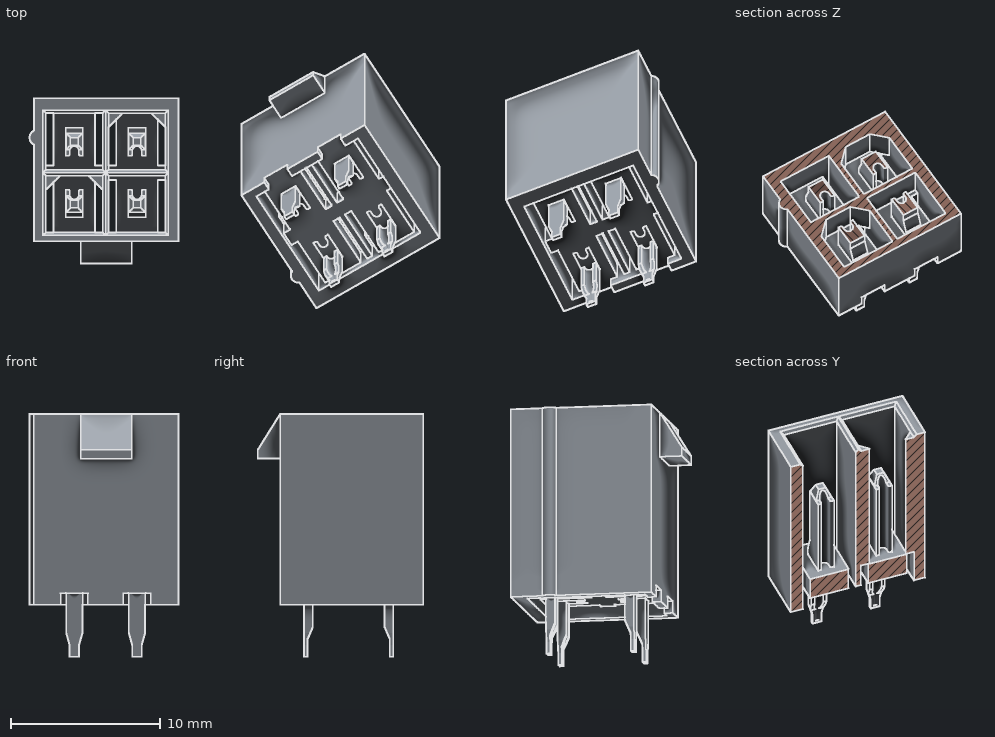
import cadquery as cq


PITCH = 4.2
SIDES = (-1, 1)

HEIGHT = 12.8
LEFT_WALL = 0.61
RIGHT_WALL = 0.69
FRONT_WALL = 0.4
BACK_WALL = 0.8
LEFT = -PITCH - LEFT_WALL
RIGHT = PITCH + RIGHT_WALL
FRONT = -PITCH - FRONT_WALL
BACK = PITCH + BACK_WALL

LEAD_IN = 0.2
CAVITY = PITCH - 2 * LEAD_IN
FLOOR_BOTTOM = 0.79
FLOOR_TOP = 2.5
CORNER_FILL = 0.95

BRIDGE_WIDTH = 2.8
OPENING_LEDGE = 0.3

NOTCH_WIDTH = 1.82

LATCH_WIDTH = 3.45
LATCH_REACH = 1.5
LATCH_RAMP = 2.4
LATCH_HEIGHT = 3.0
RIB_RADIUS = 0.52
RIB_REACH = 0.3
RIB_FROM_BACK = 2.65

TAIL_WIDTH = 1.1
POST_WIDTH = 1.15
GROOVE_RADIUS = 0.31
TAIL_OUTER = 3.0
TAIL_DEPTH = 0.6
TAIL_WEB = 0.25
TAIL_GROOVE_BITE = 0.02
TAIL_GROOVE_END = -3.3
TAIL_LENGTH = 3.5
TAIL_TIP_WIDTH = 0.65
TAIL_TAPER_START = -1.9
TAIL_TAPER_END = -2.7
FLANGE_TAPER_START = -1.5
FLANGE_TAPER_END = -2.3
POST_CENTER = PITCH / 2
POST_OUTER = 2.65
POST_INNER = 1.14
POST_GROOVE_CENTER = 1.48
LEG_ROUNDING = 0.1
POST_TOP = 9.0
TIP_SIZE = 0.52
TIP_HEIGHT = 0.7
TIP_BASE = 2 * (POST_OUTER - POST_CENTER)
SHOULDER_CLEARANCE = 0.5
SHOULDER_RISE = 1.0
SHOULDER_BOTTOM = FLOOR_TOP + SHOULDER_CLEARANCE
SHOULDER_TOP = SHOULDER_BOTTOM + SHOULDER_RISE


def box(x0, x1, y0, y1, z0, z1):
    """Axis-aligned block between two opposite corners."""
    return cq.Workplane("XY").box(x1 - x0, y1 - y0, z1 - z0, centered=False).translate((x0, y0, z0))


def extrude_across(points, width):
    """Extrude an outline of (Y, Z) points along X, centred on X = 0."""
    return cq.Workplane("YZ").polyline(points).close().extrude(width / 2, both=True)


def groove(center_y, depth, z0, z1):
    """Round-bottomed groove cutter, open towards -Y."""
    height = z1 - z0
    bottom = cq.Workplane("XY").circle(GROOVE_RADIUS).extrude(height)
    mouth = box(-GROOVE_RADIUS, GROOVE_RADIUS, -depth, 0, 0, height)
    return bottom.union(mouth).translate((0, center_y, z0))


def build_tail():
    """Channel-shaped solder tail, narrowing to a thin tip; its groove bites slightly into the web."""
    inner = TAIL_OUTER - TAIL_DEPTH
    web_inner = TAIL_OUTER - TAIL_WEB
    side = extrude_across(
        [
            (TAIL_OUTER, FLOOR_BOTTOM),
            (inner, FLOOR_BOTTOM),
            (inner, FLANGE_TAPER_START),
            (web_inner, FLANGE_TAPER_END),
            (web_inner, -TAIL_LENGTH),
            (TAIL_OUTER, -TAIL_LENGTH),
        ],
        TAIL_WIDTH,
    )
    half, tip = TAIL_WIDTH / 2, TAIL_TIP_WIDTH / 2
    face = (
        cq.Workplane("XZ")
        .polyline(
            [
                (-half, FLOOR_BOTTOM),
                (-half, TAIL_TAPER_START),
                (-tip, TAIL_TAPER_END),
                (-tip, -TAIL_LENGTH),
                (tip, -TAIL_LENGTH),
                (tip, TAIL_TAPER_END),
                (half, TAIL_TAPER_START),
                (half, FLOOR_BOTTOM),
            ]
        )
        .close()
        .extrude(-TAIL_OUTER)
    )
    groove_center = web_inner + TAIL_GROOVE_BITE - GROOVE_RADIUS
    return side.intersect(face).cut(groove(groove_center, TAIL_DEPTH, TAIL_GROOVE_END, FLOOR_BOTTOM))


def build_post():
    """Grooved post with a sloped shoulder at its foot and a pyramid tip."""
    tip_base = POST_TOP - TIP_HEIGHT
    post = extrude_across(
        [
            (POST_INNER, FLOOR_BOTTOM),
            (TAIL_OUTER, FLOOR_BOTTOM),
            (TAIL_OUTER, SHOULDER_BOTTOM),
            (POST_OUTER, SHOULDER_TOP),
            (POST_OUTER, tip_base),
            (POST_INNER, tip_base),
        ],
        POST_WIDTH,
    )
    tip = (
        cq.Workplane("XY", origin=(0, POST_CENTER, tip_base))
        .rect(TIP_BASE, TIP_BASE)
        .workplane(offset=TIP_HEIGHT)
        .rect(TIP_SIZE, TIP_SIZE)
        .loft()
    )
    post = post.union(tip).cut(groove(POST_GROOVE_CENTER, POST_GROOVE_CENTER, FLOOR_BOTTOM, POST_TOP))
    groove_mouth = cq.selectors.BoxSelector(
        (-GROOVE_RADIUS - LEG_ROUNDING, POST_INNER - LEG_ROUNDING, 0),
        (GROOVE_RADIUS + LEG_ROUNDING, POST_INNER + LEG_ROUNDING, POST_TOP),
    )
    return post.edges("|Z").edges(groove_mouth).fillet(LEG_ROUNDING)


def build_contact(column, row):
    """One contact, its grooves facing the middle of the housing."""
    contact = build_post().union(build_tail())
    if row < 0:
        contact = contact.mirror("XZ")
    return contact.translate((column * PITCH / 2, 0, 0))


def build_cavity(column, row):
    """Cavity cutter with a lead-in; diagonal neighbours have two filled back corners."""
    pocket = cq.Workplane("XY").rect(CAVITY, CAVITY).extrude(HEIGHT - LEAD_IN - FLOOR_TOP)
    if column == row:
        pocket = pocket.edges("|Z and >Y").chamfer(CORNER_FILL)
    lead_in = (
        cq.Workplane("XY", origin=(0, 0, HEIGHT - LEAD_IN - FLOOR_TOP))
        .rect(CAVITY, CAVITY)
        .workplane(offset=LEAD_IN)
        .rect(PITCH, PITCH)
        .loft()
    )
    return pocket.union(lead_in).translate((column * PITCH / 2, row * PITCH / 2, FLOOR_TOP))


def build_floor_openings(column, row):
    """Pair of openings beside the bridge, reaching from the outer wall to a ledge at the middle."""
    cavity_edge = CAVITY / 2
    bridge_edge = BRIDGE_WIDTH / 2
    right = box(bridge_edge, cavity_edge, LEAD_IN + OPENING_LEDGE, LEAD_IN + CAVITY, FLOOR_BOTTOM, FLOOR_TOP)
    openings = right.union(right.mirror("YZ"))
    if row < 0:
        openings = openings.mirror("XZ")
    return openings.translate((column * PITCH / 2, 0, 0))


def build_underside_recess():
    """Recess under the raised floor, inside the four outer walls."""
    half = PITCH - LEAD_IN
    return box(-half, half, -half, half, 0, FLOOR_BOTTOM)


def build_tail_notch(column):
    """Notch through the lower edge of the front wall, in front of a contact tail."""
    half = NOTCH_WIDTH / 2
    notch = box(-half, half, FRONT, -PITCH + LEAD_IN, 0, FLOOR_BOTTOM)
    return notch.translate((column * PITCH / 2, 0, 0))


def build_latch():
    """Ramp on the front face that a mating latch snaps over."""
    return extrude_across(
        [
            (FRONT, HEIGHT),
            (FRONT - LATCH_REACH, HEIGHT - LATCH_RAMP),
            (FRONT - LATCH_REACH, HEIGHT - LATCH_HEIGHT),
            (FRONT, HEIGHT - LATCH_HEIGHT),
        ],
        LATCH_WIDTH,
    ).translate(((LEFT + RIGHT) / 2, 0, 0))


def build_rib():
    """Round rib running up the full height of the left face."""
    center = (LEFT - RIB_REACH + RIB_RADIUS, BACK - RIB_FROM_BACK)
    return cq.Workplane("XY").center(*center).circle(RIB_RADIUS).extrude(HEIGHT)


def build_housing(contacts):
    housing = box(LEFT, RIGHT, FRONT, BACK, 0, HEIGHT).union(build_latch()).union(build_rib())
    housing = housing.cut(build_underside_recess())
    for column in SIDES:
        housing = housing.cut(build_tail_notch(column))
        for row in SIDES:
            housing = housing.cut(build_cavity(column, row))
            housing = housing.cut(build_floor_openings(column, row))
    for contact in contacts:
        housing = housing.cut(contact)
    return housing


contacts = [build_contact(column, row) for column in SIDES for row in SIDES]
housing = build_housing(contacts)

result = cq.Compound.makeCompound([housing.val(), *[contact.val() for contact in contacts]])